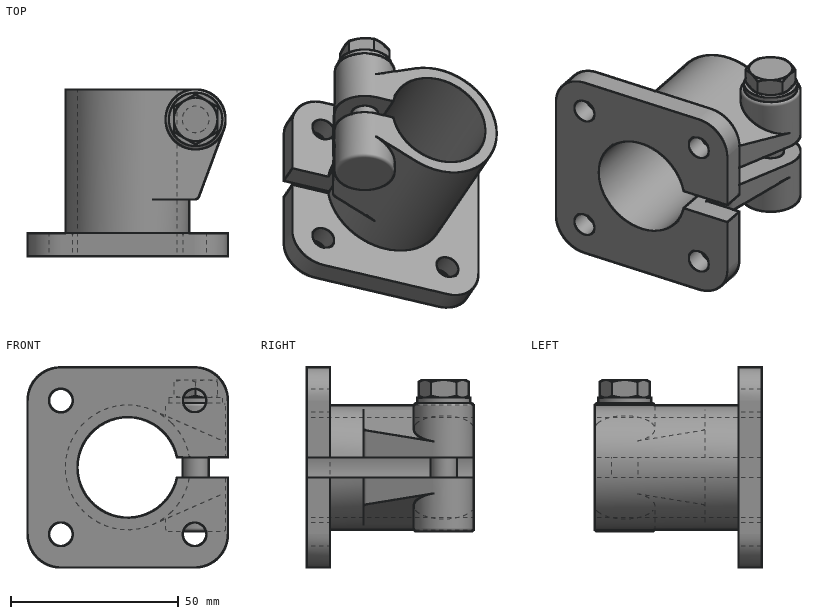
import cadquery as cq
import math

PLATE_SIDE = 60.0
PLATE_THICKNESS = 7.0
PLATE_CORNER_RADIUS = 10.0
MOUNT_HOLE_DIAMETER = 7.0
MOUNT_HOLE_SPACING = 40.0

LENGTH = 50.0
BORE_DIAMETER = 30.0
TUBE_RADIUS = 18.68
SLOT_WIDTH = 6.0

BOSS_DIAMETER = 18.0
BOSS_RADIUS = BOSS_DIAMETER / 2
BOSS_HALF_HEIGHT = 19.25
BOSS_EDGE_RADIUS = 1.0
SCREW_X = 20.3
SCREW_Y = LENGTH - BOSS_RADIUS
EAR_START_X = 7.5
EAR_START_Y = 17.0
EAR_CORNER_X = 21.0
EAR_CORNER_RADIUS = 1.5

SHANK_DIAMETER = 8.0
SHANK_BOTTOM_Z = -SLOT_WIDTH
WASHER_DIAMETER = 16.0
WASHER_THICKNESS = 1.6
HEAD_SIDES = 6
HEAD_ACROSS_FLATS = 13.0
HEAD_HEIGHT = 5.3
HEAD_CHAMFER_ANGLE = 30.0


def y_cylinder(radius, length):
    """Cylinder on the Y axis, from Y = 0 to Y = length."""
    return cq.Workplane("XZ").circle(radius).extrude(-length)


def screw_cylinder(diameter, z_bottom, z_top):
    """Upright cylinder on the screw axis."""
    base = cq.Workplane("XY", origin=(SCREW_X, SCREW_Y, z_bottom))
    return base.circle(diameter / 2).extrude(z_top - z_bottom)


def make_plate():
    plate = cq.Workplane("XZ").rect(PLATE_SIDE, PLATE_SIDE).extrude(-PLATE_THICKNESS)
    plate = plate.edges("|Y").fillet(PLATE_CORNER_RADIUS)
    holes = (
        cq.Workplane("XZ")
        .rect(MOUNT_HOLE_SPACING, MOUNT_HOLE_SPACING, forConstruction=True)
        .vertices()
        .circle(MOUNT_HOLE_DIAMETER / 2)
        .extrude(-PLATE_THICKNESS)
    )
    return plate.cut(holes)


def make_ear():
    """Wedge with faces tangent to the tube, trimmed to the ear outline seen along Z."""
    start_z = math.sqrt(TUBE_RADIUS**2 - EAR_START_X**2)
    end_x = SCREW_X + BOSS_RADIUS
    end_z = start_z - (end_x - EAR_START_X) * EAR_START_X / start_z
    wedge = (
        cq.Workplane("XZ")
        .moveTo(0, 0)
        .lineTo(EAR_START_X, start_z)
        .lineTo(end_x, end_z)
        .lineTo(end_x, -end_z)
        .lineTo(EAR_START_X, -start_z)
        .close()
        .extrude(-LENGTH)
    )

    run_x = SCREW_X - EAR_CORNER_X
    run_y = SCREW_Y - EAR_START_Y
    tangent_angle = math.atan2(-run_y, -run_x) + math.acos(BOSS_RADIUS / math.hypot(run_x, run_y))
    tangent_x = SCREW_X + BOSS_RADIUS * math.cos(tangent_angle)
    tangent_y = SCREW_Y + BOSS_RADIUS * math.sin(tangent_angle)
    mid_angle = (tangent_angle + math.pi / 2) / 2
    arc_middle = (SCREW_X + BOSS_RADIUS * math.cos(mid_angle), SCREW_Y + BOSS_RADIUS * math.sin(mid_angle))
    outline = (
        cq.Workplane("XY")
        .moveTo(0, EAR_START_Y)
        .lineTo(EAR_CORNER_X, EAR_START_Y)
        .lineTo(tangent_x, tangent_y)
        .threePointArc(arc_middle, (SCREW_X, LENGTH))
        .lineTo(0, LENGTH)
        .close()
        .extrude(TUBE_RADIUS, both=True)
    )
    corner = cq.selectors.NearestToPointSelector((EAR_CORNER_X, EAR_START_Y, 0))
    outline = outline.edges(corner).fillet(EAR_CORNER_RADIUS)
    return wedge.intersect(outline)


def make_bosses():
    boss = screw_cylinder(BOSS_DIAMETER, -BOSS_HALF_HEIGHT, BOSS_HALF_HEIGHT)
    return boss.edges("%CIRCLE").fillet(BOSS_EDGE_RADIUS)


def make_head(z_bottom):
    """Hexagon head with corners toward +Y and -Y, chamfered at both ends."""
    corner_radius = HEAD_ACROSS_FLATS / 2 / math.cos(math.pi / HEAD_SIDES)
    hexagon = (
        cq.Workplane("XY", origin=(SCREW_X, SCREW_Y, z_bottom))
        .transformed(rotate=(0, 0, 90))
        .polygon(HEAD_SIDES, 2 * corner_radius)
        .extrude(HEAD_HEIGHT)
    )
    chamfer_width = corner_radius - HEAD_ACROSS_FLATS / 2
    chamfer_height = chamfer_width * math.tan(math.radians(HEAD_CHAMFER_ANGLE))
    envelope = screw_cylinder(2 * corner_radius, z_bottom, z_bottom + HEAD_HEIGHT)
    envelope = envelope.faces(">Z or <Z").chamfer(chamfer_height, chamfer_width)
    return hexagon.intersect(envelope)


def make_screw():
    washer_top = BOSS_HALF_HEIGHT + WASHER_THICKNESS
    shank = screw_cylinder(SHANK_DIAMETER, SHANK_BOTTOM_Z, BOSS_HALF_HEIGHT)
    washer = screw_cylinder(WASHER_DIAMETER, BOSS_HALF_HEIGHT, washer_top)
    return shank.union(washer).union(make_head(washer_top))


def make_slot():
    """Clamping slot through the full length, from the bore axis to the +X side."""
    return cq.Workplane("XY").box(PLATE_SIDE, LENGTH, SLOT_WIDTH, centered=(False, False, True))


body = make_plate().union(y_cylinder(TUBE_RADIUS, LENGTH)).union(make_ear()).union(make_bosses())
body = body.cut(y_cylinder(BORE_DIAMETER / 2, LENGTH)).cut(make_slot())
result = body.union(make_screw())